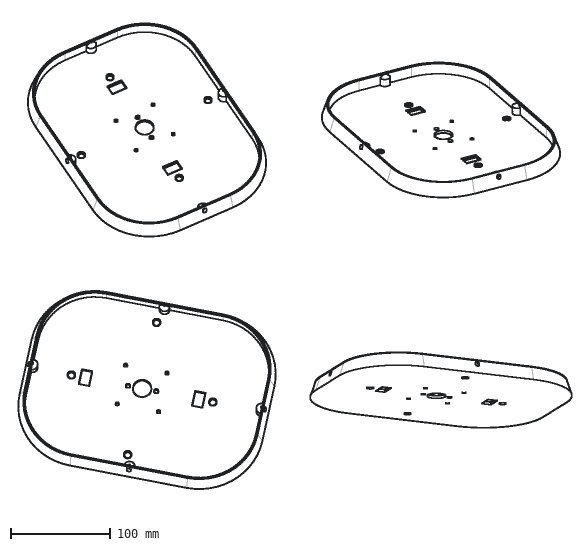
import cadquery as cq
import math

length = 250.5
width = 190.7
height = 15.0
corner_radius = 65.2
wall_lean = 5.0
floor_thickness = 3.0


cavity_inset = 7.0
ledge_inset = 5.8
ledge_depth = 0.5
ledge_z = height - ledge_depth

boss_radius = 5.5
boss_tip_radius = 1.0
boss_cone_height = 3.5
boss_shoulder_z = ledge_z - boss_cone_height
screw_hole_diameter = 4.5
screw_hole_z = 10.3
screw_hole_depth = 6.5
screw_point_depth = 2.3

pattern_x = -5.0
cable_hole_diameter = 18.5
pilot_hole_diameter = 4.5
pilot_offset = 14.5
small_hole_diameter = 3.5
small_hole_offset = 21.3
mount_hole_diameter = 6.8
mount_recess_diameter = 8.0
recess_depth = 1.0
mount_offset = 73.0
window_length = 10.0
window_recess_length = 11.0
window_width = 16.3
window_offset = 58.5


def rounded_block(inset, bottom, top, taper=0):
    """Rounded rectangle inset from the base outline, extruded from bottom to top."""
    outline = cq.Sketch().rect(length - 2 * inset, width - 2 * inset)
    outline = outline.vertices().fillet(corner_radius - inset)
    plane = cq.Workplane("XY", origin=(0, 0, bottom))
    return plane.placeSketch(outline).extrude(top - bottom, taper=taper)


def wall_boss(wall_face_x):
    """Round post with a conical tip, centred on the inner face of the +X wall."""
    profile = (
        cq.Workplane("XZ")
        .lineTo(boss_radius, 0)
        .lineTo(boss_radius, boss_shoulder_z)
        .lineTo(boss_tip_radius, ledge_z)
        .lineTo(0, ledge_z)
        .close()
    )
    return profile.revolve(360, (0, 0, 0), (0, 1, 0)).translate((wall_face_x, 0, 0))


def screw_hole(outer_reach):
    """Horizontal cutter entering the +X wall, straight at first and ending in a conical point."""
    radius = screw_hole_diameter / 2
    straight_end = outer_reach - screw_hole_depth
    profile = (
        cq.Workplane("XZ", origin=(0, 0, screw_hole_z))
        .moveTo(outer_reach, 0)
        .lineTo(outer_reach, radius)
        .lineTo(straight_end, radius)
        .lineTo(straight_end - screw_point_depth, 0)
        .close()
    )
    return profile.revolve(360, (0, 0, 0), (1, 0, 0))


def floor_holes(points, diameter, bottom=0):
    """Round cutters up to the floor's top face, at points relative to the pattern centre."""
    plane = cq.Workplane("XY", origin=(pattern_x, 0, bottom))
    return plane.pushPoints(points).circle(diameter / 2).extrude(floor_thickness - bottom)


def windows(opening_length, bottom=0):
    """Pair of rectangular cutters up to the floor's top face."""
    plane = cq.Workplane("XY", origin=(pattern_x, 0, bottom))
    outline = plane.pushPoints([(-window_offset, 0), (window_offset, 0)]).rect(opening_length, window_width)
    return outline.extrude(floor_thickness - bottom)


lean_angle = math.degrees(math.atan2(wall_lean, height))
body = rounded_block(0, 0, height, lean_angle)
cavity = rounded_block(cavity_inset, floor_thickness, height)
result = body.cut(cavity).cut(rounded_block(ledge_inset, ledge_z, height))

for turn, reach in ((0, length / 2), (90, width / 2), (180, length / 2), (270, width / 2)):
    boss = wall_boss(reach - cavity_inset).rotate((0, 0, 0), (0, 0, 1), turn)
    result = result.union(boss.intersect(body))
    result = result.cut(screw_hole(reach).rotate((0, 0, 0), (0, 0, 1), turn))

pilot_points = [(-pilot_offset, 0), (pilot_offset, 0)]
small_points = [(x, y) for x in (-small_hole_offset, small_hole_offset)
                for y in (-small_hole_offset, small_hole_offset)]
mount_points = [(mount_offset, 0), (-mount_offset, 0), (0, mount_offset), (0, -mount_offset)]
result = result.cut(floor_holes([(0, 0)], cable_hole_diameter))
result = result.cut(floor_holes(pilot_points, pilot_hole_diameter))
result = result.cut(floor_holes(small_points, small_hole_diameter))
result = result.cut(floor_holes(mount_points, mount_hole_diameter))

recess_z = floor_thickness - recess_depth
result = result.cut(floor_holes(mount_points, mount_recess_diameter, recess_z))

result = result.cut(windows(window_length))
result = result.cut(windows(window_recess_length, recess_z))